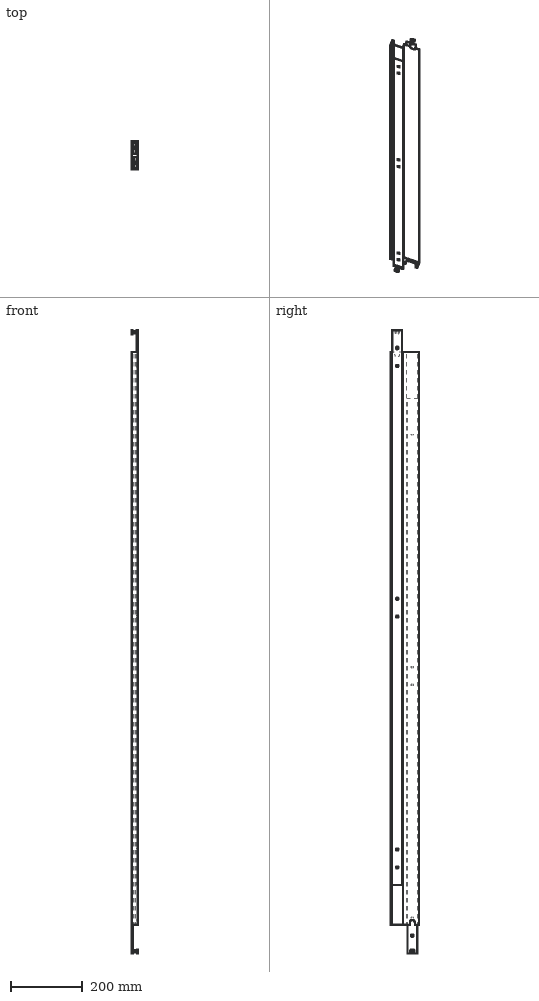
import cadquery as cq

housing_length = 1600.0
housing_width = 80.0
housing_depth = 17.0
side_wall = 5.0
divider_thickness = 10.0
web = 6.0
groove_width = (housing_width - divider_thickness) / 2 - side_wall
groove_depth = housing_depth - web
groove_y = (divider_thickness + groove_width) / 2

notch_width = 14.0
notch_depth = 14.0

overall_length = 1740.81
bottom_reach = 80.0
top_reach = overall_length - housing_length - bottom_reach
bar_length = 1550.0
bar_width = 28.0
bar_thickness = 4.0
bar_y = housing_width / 2 - side_wall - bar_width / 2

hole_diameter = 6.0
first_hole = 50.0
hole_spacing = 50.0
pair_pitch = 700.0
pair_count = 3

stud_diameter = 7.0
head_diameter = 12.0
head_thickness = 2.0
stud_from_end = head_diameter / 2


def cut_end_notch(body, y, web_x, end_z, inward):
    """Cut a round-bottomed notch through the web at one end of the housing."""
    radius = notch_width / 2
    straight = notch_depth - radius
    side = end_z + inward * straight
    notch = (
        cq.Workplane("YZ", origin=(web_x - web / 2, 0, 0))
        .moveTo(y - radius, end_z)
        .lineTo(y - radius, side)
        .threePointArc((y, end_z + inward * notch_depth), (y + radius, side))
        .lineTo(y + radius, end_z)
        .close()
        .extrude(web)
    )
    return body.cut(notch)


def make_housing():
    body = cq.Workplane("XY").box(housing_depth, housing_width, housing_length)
    for side in (1, -1):
        groove = cq.Workplane("XY").box(groove_depth, groove_width, housing_length)
        body = body.cut(groove.translate((-side * web / 2, side * groove_y, 0)))
        web_x = side * (housing_depth - web) / 2
        body = cut_end_notch(body, side * bar_y, web_x, -side * housing_length / 2, side)
    return body


def make_bar():
    """Bar standing on z = 0 with its back at x = 0 and its stud pointing to +X."""
    bar = cq.Workplane("XY").box(bar_thickness, bar_width, bar_length, centered=(False, True, False))
    hole_heights = [
        first_hole + pair * pair_pitch + offset
        for pair in range(pair_count)
        for offset in (0, hole_spacing)
    ]
    holes = (
        cq.Workplane("YZ")
        .pushPoints([(0, height) for height in hole_heights])
        .circle(hole_diameter / 2)
        .extrude(bar_thickness)
    )
    stud = (
        cq.Workplane("YZ", origin=(bar_thickness, 0, 0))
        .center(0, stud_from_end)
        .circle(stud_diameter / 2)
        .extrude(housing_depth - bar_thickness)
    )
    head = (
        cq.Workplane("YZ", origin=(housing_depth - head_thickness, 0, 0))
        .center(0, stud_from_end)
        .circle(head_diameter / 2)
        .extrude(head_thickness)
    )
    return bar.cut(holes).union(stud).union(head)


housing = make_housing()
lower_bar = make_bar().translate((-housing_depth / 2, bar_y, -housing_length / 2 - bottom_reach))
upper_bar = (
    make_bar()
    .rotate((0, 0, 0), (0, 1, 0), 180)
    .translate((housing_depth / 2, -bar_y, housing_length / 2 + top_reach))
)

result = cq.Compound.makeCompound([housing.val(), lower_bar.val(), upper_bar.val()])